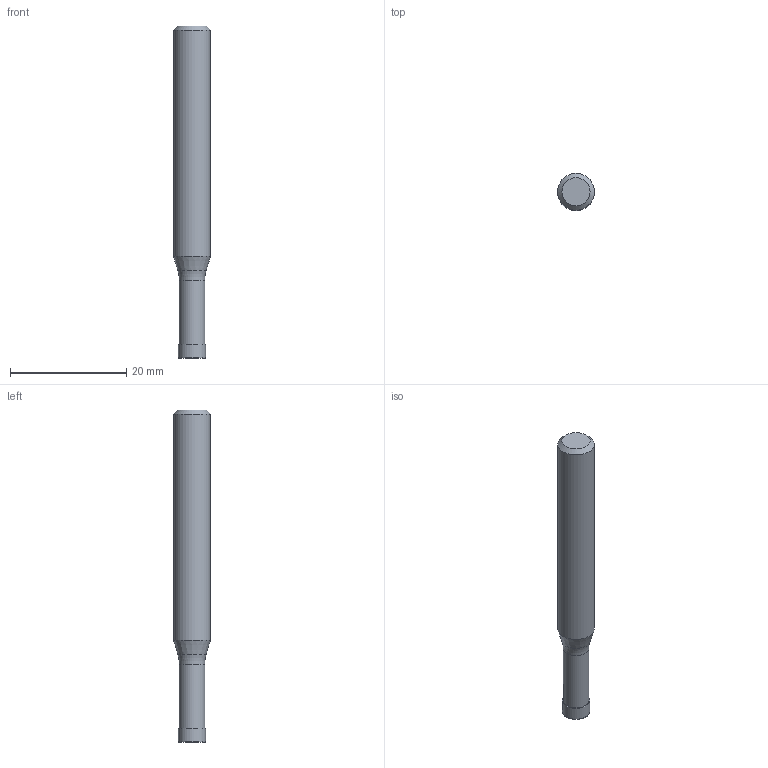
import cadquery as cq
import math

total_length = 57.2
shank_radius = 6.35 / 2
shank_chamfer = 0.75

head_radius = 4.7 / 2
head_length = 2.4
head_corner_radius = 0.1

neck_radius = 4.38 / 2
neck_top = 13.4
shank_bottom = 17.5
flare_radius = 5.8


def flare_end(cone_angle):
    """Radius and height of the point where the concave flare meets the cone."""
    radius = neck_radius + flare_radius * (1 - math.cos(cone_angle))
    height = neck_top + flare_radius * math.sin(cone_angle)
    return radius, height


def tangent_cone_angle():
    """Angle from the axis of the line from the shank's lower edge tangent to the flare arc."""
    radial_gap = neck_radius + flare_radius - shank_radius
    axial_gap = shank_bottom - neck_top
    centre_distance = math.hypot(radial_gap, axial_gap)
    return math.asin(flare_radius / centre_distance) - math.atan2(radial_gap, axial_gap)


def make_tool():
    """Revolve the half section of the tool about the Z axis."""
    cone_angle = tangent_cone_angle()
    profile = (
        cq.Workplane("XZ")
        .lineTo(head_radius - head_corner_radius, 0)
        .radiusArc((head_radius, head_corner_radius), -head_corner_radius)
        .lineTo(head_radius, head_length)
        .lineTo(neck_radius, head_length)
        .lineTo(neck_radius, neck_top)
        .radiusArc(flare_end(cone_angle), flare_radius)
        .lineTo(shank_radius, shank_bottom)
        .lineTo(shank_radius, total_length - shank_chamfer)
        .lineTo(shank_radius - shank_chamfer, total_length)
        .lineTo(0, total_length)
        .close()
    )
    return profile.revolve(360, (0, 0, 0), (0, 1, 0))


result = make_tool()